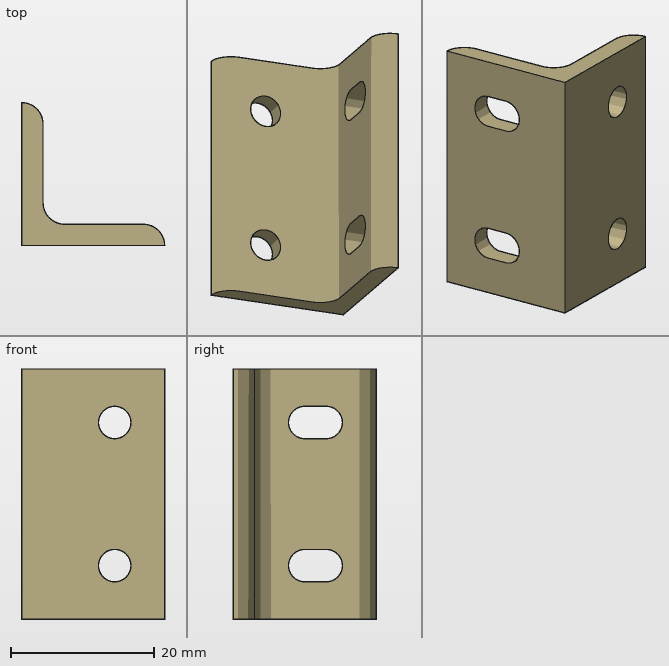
import cadquery as cq

leg_length = 20.0
thickness = 3.0
height = 35.0
root_radius = 3.0
toe_radius = thickness

opening_width = 4.5
row_spacing = 20.0
hole_x = 13.0
slot_center_y = 11.5
slot_length = 7.5

row_heights = [height / 2 - row_spacing / 2, height / 2 + row_spacing / 2]


def angle_body():
    """L-shaped bar with a root fillet and rounded toes."""
    toe_start = leg_length - toe_radius
    root_end = thickness + root_radius
    return (
        cq.Workplane("XY")
        .lineTo(leg_length, 0)
        .radiusArc((toe_start, thickness), -toe_radius)
        .lineTo(root_end, thickness)
        .radiusArc((thickness, root_end), root_radius)
        .lineTo(thickness, toe_start)
        .radiusArc((0, leg_length), -toe_radius)
        .close()
        .extrude(height)
    )


def round_holes():
    """Cutters for the round holes through the leg along X."""
    centers = [(hole_x, z) for z in row_heights]
    return (
        cq.Workplane("XZ")
        .pushPoints(centers)
        .circle(opening_width / 2)
        .extrude(-thickness)
    )


def slots():
    """Cutters for the slots, elongated in Y, through the leg along Y."""
    centers = [(slot_center_y, z) for z in row_heights]
    return (
        cq.Workplane("YZ")
        .pushPoints(centers)
        .slot2D(slot_length, opening_width)
        .extrude(thickness)
    )


result = angle_body().cut(round_holes()).cut(slots())